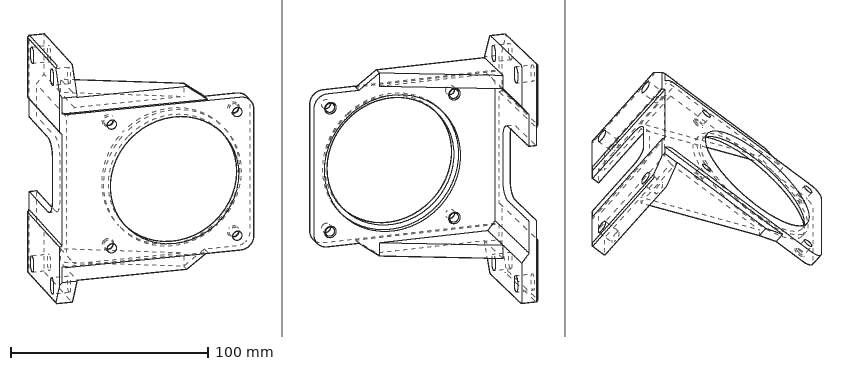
import cadquery as cq

height = 128.0
foot_width = 58.4
foot_back = 9.0
pad_relief = 1.0
pad_inner_z = 29.8
pad_chamfer = 1.0
foot_bevel_x = 8.5
foot_bevel_z = 14.5
foot_corner_radius = 1.0
bevel_corner_radius = 1.9

thin_back = 5.0
thin_half_height = 37.1
window_depth = 41.0
window_half_height = 20.0
window_radius = 8.0
window_lip_radius = 0.8

slot_width = 5.5
slot_height = 8.5
slot_first_x = 9.0
slot_pitch_x = 35.0
slot_z = 56.0

flange_inner_x = 53.1
flange_outer_x = 60.0
flange_top_y = 102.0
flange_half_height = 41.1
flange_corner_radius = 7.0
flange_round_y = 5.0
shoulder_y = 78.0

rib_outer_z = 49.2
rib_inner_z = 42.0
rib_top_y = 67.0
rib_foot_x = 29.2

bore_y = 60.0
bore_diameter = 68.0
recess_diameter = 73.0
recess_depth = 3.0
screw_pitch = 66.4
screw_diameter = 4.9
screw_chamfer = 0.6

half_height = height / 2


def box(x0, x1, y0, y1, z0, z1):
    """Box between opposite corners."""
    return cq.Workplane("XY").box(x1 - x0, y1 - y0, z1 - z0, centered=False).translate((x0, y0, z0))


def xz_prism(points, y0, y1):
    """Outline of (x, z) points extruded from y0 to y1."""
    return cq.Workplane("XZ", origin=(0, y0, 0)).polyline(points).close().extrude(y0 - y1)


def yz_prism(points, x0, x1):
    """Outline of (y, z) points extruded from x0 to x1."""
    return cq.Workplane("YZ", origin=(x0, 0, 0)).polyline(points).close().extrude(x1 - x0)


def both_halves(upper):
    """Join an upper feature with its mirror image below Z = 0."""
    return upper.union(upper.mirror("XY"))


def make_foot():
    bevel_x = foot_width - foot_bevel_x
    bevel_z = half_height - foot_bevel_z
    outline = [
        (0, -half_height), (bevel_x, -half_height), (foot_width, -bevel_z),
        (foot_width, bevel_z), (bevel_x, half_height), (0, half_height),
    ]
    foot = xz_prism(outline, 0, foot_back)
    for z in (-half_height, half_height):
        for x, radius in ((0, foot_corner_radius), (bevel_x, bevel_corner_radius)):
            corner = cq.selectors.NearestToPointSelector((x, foot_back / 2, z))
            foot = foot.edges(corner).fillet(radius)

    step = yz_prism([
        (0, -pad_inner_z - pad_chamfer), (pad_relief, -pad_inner_z),
        (pad_relief, pad_inner_z), (0, pad_inner_z + pad_chamfer),
    ], 0, foot_width)
    foot = foot.cut(step)

    for x, inward in ((0, 1), (foot_width, -1)):
        corner_cut = [(x, 0), (x + inward * pad_chamfer, 0), (x, pad_relief)]
        plane = cq.Workplane("XY", origin=(0, 0, -half_height))
        foot = foot.cut(plane.polyline(corner_cut).close().extrude(height))
    for z, inward in ((half_height, -1), (-half_height, 1)):
        foot = foot.cut(yz_prism(
            [(0, z), (0, z + inward * pad_chamfer), (pad_relief, z)], 0, foot_width))
    return foot


def make_flange():
    upper = [
        (flange_top_y, flange_half_height), (shoulder_y, flange_half_height),
        (rib_top_y, rib_outer_z), (pad_relief, rib_outer_z),
    ]
    lower = [(y, -z) for y, z in reversed(upper)]
    flange = yz_prism(upper + lower, flange_inner_x, foot_width)
    outer_layer = box(foot_width, flange_outer_x, pad_relief, flange_top_y,
                      -flange_half_height, flange_half_height)
    run = flange_outer_x - foot_width
    rise = flange_round_y - pad_relief
    radius = (run ** 2 + rise ** 2) / (2 * run)
    edge_cut = (
        cq.Workplane("XY", origin=(0, 0, -half_height))
        .moveTo(flange_outer_x, pad_relief)
        .lineTo(flange_outer_x, flange_round_y)
        .radiusArc((foot_width, pad_relief), radius)
        .close()
        .extrude(height)
    )
    flange = flange.union(outer_layer.cut(edge_cut))
    return flange.edges("|X and >Y").fillet(flange_corner_radius)


def make_ribs():
    rib = cq.Workplane("XY", origin=(0, 0, rib_inner_z)).polyline([
        (rib_foot_x, foot_back), (flange_inner_x, rib_top_y), (flange_inner_x, foot_back),
    ]).close().extrude(rib_outer_z - rib_inner_z)
    return both_halves(rib)


def make_thinning():
    """Pocket behind the middle of the foot, flaring out to the ribs."""
    return yz_prism([
        (thin_back, -thin_half_height), (thin_back, thin_half_height),
        (foot_back, rib_inner_z), (foot_back, -rib_inner_z),
    ], 0, flange_inner_x)


def make_window():
    window = box(0, window_depth, 0, foot_back, -window_half_height, window_half_height)
    return window.edges("|Y and >X").fillet(window_radius)


def make_slots():
    centres = [(slot_first_x + i * slot_pitch_x, side * slot_z) for i in range(2) for side in (-1, 1)]
    return (cq.Workplane("XZ").pushPoints(centres)
            .slot2D(slot_height, slot_width, angle=90).extrude(-foot_back))


def make_bore():
    plane = cq.Workplane("YZ", origin=(flange_inner_x, bore_y, 0))
    thickness = flange_outer_x - flange_inner_x
    recess = plane.circle(recess_diameter / 2).extrude(recess_depth)
    return plane.circle(bore_diameter / 2).extrude(thickness).union(recess)


def make_screw_holes():
    """Four holes, chamfered at the inner face of the flange."""
    radius = screw_diameter / 2
    rim = radius + screw_chamfer
    hole = cq.Workplane("XY").polyline([
        (flange_inner_x, 0), (flange_inner_x, rim), (flange_inner_x + screw_chamfer, radius),
        (flange_outer_x, radius), (flange_outer_x, 0),
    ]).close().revolve(360, (0, 0, 0), (1, 0, 0))
    holes = cq.Workplane("XY")
    for y_side in (-1, 1):
        for z_side in (-1, 1):
            y = bore_y + y_side * screw_pitch / 2
            z = z_side * screw_pitch / 2
            holes = holes.add(hole.translate((0, y, z)))
    return holes.combine()


foot = make_foot().cut(make_thinning()).cut(make_window())
for side in (-1, 1):
    lip = cq.selectors.NearestToPointSelector(
        (0, (pad_relief + thin_back) / 2, side * window_half_height))
    foot = foot.edges(lip).fillet(window_lip_radius)

result = foot.union(make_flange()).union(make_ribs())
result = result.cut(make_slots()).cut(make_bore()).cut(make_screw_holes())